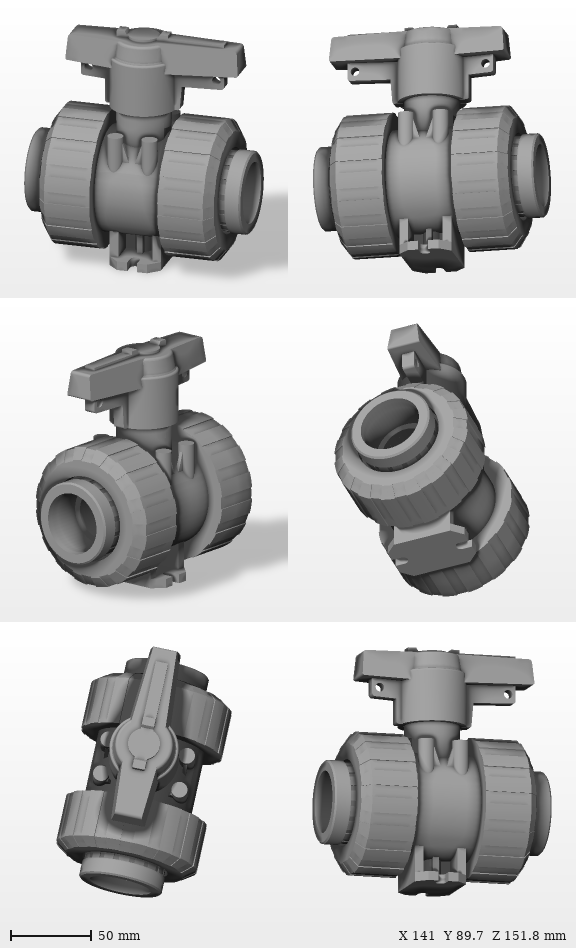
import cadquery as cq
import math


overall_length = 141.0
flow_bore_radius = 15.6
top_z = 100.6

barrel_radius = 34.0
housing_half_length = 39.5
neck_radius = 17.6
neck_flat_x = 15.5
ratchet_teeth = 4
ratchet_rise = 3.6
neck_tooth_top_z = 46.5

post_radius = 5.0
post_x = 11.1
post_y = 25.0
post_top_z = 38.4
gusset_thickness = 2.5
gusset_top_z = 33.7
gusset_foot_z = 21.5
gusset_reach = 4.1
side_gusset_x = 13.4

foot_bottom_z = top_z - 151.8
foot_plate_thickness = 5.8
foot_half_x = 16.7
foot_half_y = 25.8
foot_corner_chamfer = 6.8
foot_notch_width = 6.4
foot_notch_depth = 9.5
pillar_thickness = 5.6
pillar_half_y = 18.8
foot_boss_radius = 5.6
foot_rib_thickness = 3.6
foot_rib_half_y = 9.0

nut_inner_x = 22.2
nut_outer_x = 56.9
nut_crest_face_radius = 38.0
nut_chamfer_length = 5.2
nut_valley_depth = 0.8
nut_valley_width = 7.7
nut_valleys = 16
nut_width = 89.7
nut_crest_radius = math.hypot(nut_width / 2, nut_valley_width / 2)
nut_hole_radius = 27.5
nut_end_wall = 6.8

collar_radius = 26.4
collar_length = 10.2
collar_chamfer = 1.0
tail_radius = 25.5
tail_groove_depth = 0.8
tail_groove_angle = 7.8
tail_grooves = 16
socket_radius = 19.6
socket_depth = 26.5

stem_top_z = 67.7

hub_radius = 21.7
hub_bottom_z = 51.6
hub_shoulder_z = 85.3
hub_shoulder_round = 1.5
crown_foot_radius = 19.6
crown_foot_z = 86.4
crown_top_radius = 17.8
crown_round = 2.0
handle_top_z = 96.5
grip_left_x = -48.3
grip_right_x = 64.0
grip_end_lean = 1.4
grip_end_z = 80.1
grip_middle_z = 77.9
grip_middle_half_width = 14.4
grip_side_lean = 2.6
grip_narrowing = 0.07
grip_round = 2.0
grip_lower_round = 1.2
slot_width = 9.4
handle_skin = 3.0

key_thickness = 7.9
key_left_x = -40.0
key_right_x = 53.3
key_arm_end_z = 68.5
key_arm_root_z = 67.5
key_arm_round = 2.0
key_leg_left_x = -24.3
key_leg_right_x = 25.8
key_leg_taper = 1.4
key_leg_round = 1.5
key_hole_radius = 2.7
key_hole_left_x = -35.0
key_hole_right_x = 48.4
key_hole_z = 74.2
strip_top_z = 98.5
cap_radius = 10.0
block_outer_x = 16.7
block_inner_x = 11.4
block_slope = 1.4


def cylinder_z(radius, bottom, top):
    return cq.Workplane("XY").workplane(offset=bottom).circle(radius).extrude(top - bottom)


def box(x0, x1, y0, y1, z0, z1):
    return cq.Workplane("XY").box(x1 - x0, y1 - y0, z1 - z0, centered=False).translate((x0, y0, z0))


def revolve_about_x(points):
    """Solid of revolution about the X axis from (x, radius) points."""
    return cq.Workplane("XY").polyline(points).close().revolve(360, (0, 0, 0), (1, 0, 0))


def front_plate(points, thickness, middle_y=0.0):
    """Plate with an (x, z) outline, centred on middle_y."""
    plate = cq.Workplane("XZ").polyline(points).close().extrude(thickness / 2, both=True)
    return plate.translate((0, middle_y, 0))


def mirrored_to_other_end(solid):
    return solid.rotate((0, 0, 0), (0, 0, 1), 180)


def ratchet_post(tooth_top_z):
    """Post on the Z axis whose top is a ring of saw teeth, each falling anticlockwise."""
    half_chord = neck_radius * math.sin(math.pi / ratchet_teeth)
    ramp_slope = ratchet_rise / (2 * half_chord)
    middle_z = tooth_top_z - ratchet_rise / 2
    far = 2 * neck_radius
    gap_outline = [
        (-far, middle_z - ramp_slope * far),
        (far, middle_z + ramp_slope * far),
        (far, tooth_top_z + far),
        (-far, tooth_top_z + far),
    ]
    sector = box(0, far, 0, far, 0, tooth_top_z + 2 * far).rotate((0, 0, 0), (0, 0, 1), 45)
    gap = front_plate(gap_outline, 4 * far).intersect(sector)
    post = cylinder_z(neck_radius, 0, tooth_top_z + ratchet_rise)
    for i in range(ratchet_teeth):
        post = post.cut(gap.rotate((0, 0, 0), (0, 0, 1), 45 + i * 360 / ratchet_teeth))
    return post


def make_neck():
    neck = ratchet_post(neck_tooth_top_z)
    side_slab = box(neck_flat_x, 2 * neck_radius, -2 * neck_radius, 2 * neck_radius, 0, neck_tooth_top_z)
    return neck.cut(side_slab).cut(mirrored_to_other_end(side_slab))


def make_post():
    """Post in the +X +Y corner; one gusset points to X = 0 and one to Y = 0."""
    post = cylinder_z(post_radius, 0, post_top_z).translate((post_x, post_y, 0))

    def gusset(plane, post_position):
        edge = post_position - post_radius
        outline = [
            (post_position, gusset_foot_z),
            (edge - gusset_reach, gusset_foot_z),
            (edge, gusset_top_z),
            (post_position, gusset_top_z),
        ]
        return cq.Workplane(plane).polyline(outline).close().extrude(gusset_thickness / 2, both=True)

    cross_gusset = gusset("XZ", post_x).translate((0, post_y, 0))
    side_gusset = gusset("YZ", post_y).translate((side_gusset_x, 0, 0))
    return post.union(cross_gusset).union(side_gusset)


def make_foot():
    plate_top_z = foot_bottom_z + foot_plate_thickness
    plate = box(-foot_half_x, foot_half_x, -foot_half_y, foot_half_y, foot_bottom_z, plate_top_z)
    plate = plate.edges("|Z").chamfer(foot_corner_chamfer)
    notch_half = foot_notch_width / 2
    notch_centre_y = foot_half_y - foot_notch_depth + notch_half
    for side in (-1, 1):
        notch_end = cylinder_z(notch_half, foot_bottom_z, plate_top_z).translate((0, side * notch_centre_y, 0))
        y0, y1 = sorted((side * notch_centre_y, side * foot_half_y))
        plate = plate.cut(notch_end).cut(box(-notch_half, notch_half, y0, y1, foot_bottom_z, plate_top_z))

    inside_barrel_z = -(flow_bore_radius + barrel_radius) / 2
    pillar_inner_x = foot_half_x - pillar_thickness
    web_half = foot_rib_thickness / 2
    foot = plate.union(cylinder_z(foot_boss_radius, foot_bottom_z, inside_barrel_z))
    foot = foot.union(box(-web_half, web_half, -foot_rib_half_y, foot_rib_half_y, plate_top_z, inside_barrel_z))
    foot = foot.union(box(-pillar_inner_x, pillar_inner_x, -web_half, web_half, plate_top_z, inside_barrel_z))
    for x0, x1 in ((-foot_half_x, -pillar_inner_x), (pillar_inner_x, foot_half_x)):
        foot = foot.union(box(x0, x1, -pillar_half_y, pillar_half_y, plate_top_z, inside_barrel_z))
    return foot


def make_housing(neck):
    barrel = cq.Workplane("YZ").circle(barrel_radius).extrude(housing_half_length, both=True)
    housing = barrel.union(neck).union(make_foot())
    post = make_post()
    post_pair = post.union(post.mirror("YZ"))
    housing = housing.union(post_pair).union(post_pair.mirror("XZ"))
    flow_bore = cq.Workplane("YZ").circle(flow_bore_radius).extrude(housing_half_length, both=True)
    return housing.cut(flow_bore)


def make_nut():
    def blank(inset):
        return revolve_about_x([
            (nut_inner_x, barrel_radius),
            (nut_inner_x, nut_crest_radius - inset),
            (nut_outer_x - nut_chamfer_length, nut_crest_radius - inset),
            (nut_outer_x, nut_crest_face_radius - inset),
            (nut_outer_x, nut_hole_radius),
            (nut_outer_x - nut_end_wall, nut_hole_radius),
            (nut_outer_x - nut_end_wall, barrel_radius),
        ])

    crests = blank(0)
    half_width = nut_valley_width / 2
    valley = box(nut_inner_x, nut_outer_x, -half_width, half_width, barrel_radius, 2 * nut_crest_radius)
    for i in range(nut_valleys):
        crests = crests.cut(valley.rotate((0, 0, 0), (1, 0, 0), i * 360 / nut_valleys))
    return blank(nut_valley_depth).union(crests)


def make_connector():
    end_x = overall_length / 2
    collar_x = end_x - collar_length
    flange_x = nut_outer_x - nut_end_wall
    connector = revolve_about_x([
        (housing_half_length, flow_bore_radius),
        (housing_half_length, barrel_radius),
        (flange_x, barrel_radius),
        (flange_x, tail_radius),
        (collar_x, tail_radius),
        (collar_x, collar_radius),
        (end_x - collar_chamfer, collar_radius),
        (end_x, collar_radius - collar_chamfer),
        (end_x, socket_radius),
        (end_x - socket_depth, socket_radius),
        (end_x - socket_depth, flow_bore_radius),
    ])
    half_width = tail_radius * math.sin(math.radians(tail_groove_angle / 2))
    groove_floor = tail_radius - tail_groove_depth
    groove = box(flange_x, collar_x, -half_width, half_width, groove_floor, collar_radius)
    pitch = 360 / tail_grooves
    for i in range(tail_grooves):
        connector = connector.cut(groove.rotate((0, 0, 0), (1, 0, 0), (i + 0.5) * pitch))
    return connector


def make_stem(neck):
    """Ratchet sleeve whose teeth reach down past the neck flats."""
    tooth_gap_z = neck_tooth_top_z - ratchet_rise
    stem = cylinder_z(neck_radius, tooth_gap_z - ratchet_rise, stem_top_z)
    return stem.cut(ratchet_post(tooth_gap_z)).cut(neck)


def make_key():
    slot_top_z = handle_top_z - handle_skin
    arms = front_plate([
        (key_left_x, slot_top_z),
        (key_left_x, key_arm_end_z),
        (key_leg_left_x, key_arm_root_z),
        (key_leg_left_x, hub_bottom_z),
        (key_leg_right_x - key_leg_taper, hub_bottom_z),
        (key_leg_right_x, key_arm_root_z),
        (key_right_x, key_arm_end_z),
        (key_right_x, slot_top_z),
    ], key_thickness)
    for x in (key_left_x, key_right_x):
        lower_corner = cq.selectors.NearestToPointSelector((x, 0, key_arm_end_z))
        arms = arms.edges("|Y").edges(lower_corner).fillet(key_arm_round)
    arms = arms.faces("<Z").edges("|Y").fillet(key_leg_round)
    arms = arms.cut(cylinder_z(neck_radius, hub_bottom_z, stem_top_z))
    for x in (key_hole_left_x, key_hole_right_x):
        hole = cq.Workplane("XZ").center(x, key_hole_z).circle(key_hole_radius)
        arms = arms.cut(hole.extrude(key_thickness, both=True))

    slope_foot_x = block_inner_x - block_slope
    strip = front_plate([
        (-block_outer_x, slot_top_z),
        (-block_outer_x, top_z),
        (-block_inner_x, top_z),
        (-slope_foot_x, strip_top_z),
        (slope_foot_x, strip_top_z),
        (block_inner_x, top_z),
        (block_outer_x, top_z),
        (block_outer_x, strip_top_z),
        (key_right_x, strip_top_z),
        (key_right_x, slot_top_z),
    ], key_thickness)
    cap = cylinder_z(cap_radius, slot_top_z, strip_top_z)
    return arms.union(strip).union(cap)


def make_hub():
    outline = (
        cq.Workplane("XZ")
        .moveTo(0, hub_bottom_z)
        .lineTo(hub_radius, hub_bottom_z)
        .lineTo(hub_radius, hub_shoulder_z - hub_shoulder_round)
        .radiusArc((hub_radius - hub_shoulder_round, hub_shoulder_z), -hub_shoulder_round)
        .lineTo(crown_foot_radius, crown_foot_z)
        .lineTo(crown_top_radius, handle_top_z)
        .lineTo(0, handle_top_z)
        .close()
    )
    hub = outline.revolve(360, (0, 0, 0), (0, 1, 0))
    return hub.faces(">Z").edges().fillet(crown_round)


def make_grip():
    side = front_plate([
        (grip_left_x, grip_end_z),
        (0, grip_middle_z),
        (grip_right_x, grip_end_z),
        (grip_right_x - grip_end_lean, handle_top_z),
        (grip_left_x + grip_end_lean, handle_top_z),
    ], 4 * grip_middle_half_width)
    side = side.faces(">Z").edges("|Y").fillet(grip_round)
    side = side.edges("|Y and (<X or >X)").fillet(grip_lower_round)

    def plan(middle_half_width):
        left = middle_half_width + grip_narrowing * grip_left_x
        right = middle_half_width - grip_narrowing * grip_right_x
        return [
            (grip_left_x, left), (0, middle_half_width), (grip_right_x, right),
            (grip_right_x, -right), (0, -middle_half_width), (grip_left_x, -left),
        ]

    wedge = (
        cq.Workplane("XY").workplane(offset=grip_middle_z)
        .polyline(plan(grip_middle_half_width)).close()
        .workplane(offset=handle_top_z - grip_middle_z)
        .polyline(plan(grip_middle_half_width - grip_side_lean)).close()
        .loft(ruled=True)
    )
    return side.intersect(wedge)


def make_handle(key):
    handle = make_hub().union(make_grip())
    half = slot_width / 2
    slot = box(key_left_x, key_right_x, -half, half, hub_bottom_z, handle_top_z - handle_skin)
    stem_socket = cylinder_z(neck_radius, hub_bottom_z, stem_top_z)
    return handle.cut(slot).cut(stem_socket).cut(key)


neck = make_neck()
housing = make_housing(neck)
nut = make_nut()
connector = make_connector()
nuts = [nut, mirrored_to_other_end(nut)]
connectors = [connector, mirrored_to_other_end(connector)]
stem = make_stem(neck)
key = make_key()
handle = make_handle(key)

result = cq.Compound.makeCompound([
    housing.val(),
    *[body.val() for body in nuts],
    *[body.val() for body in connectors],
    stem.val(),
    key.val(),
    handle.val(),
])